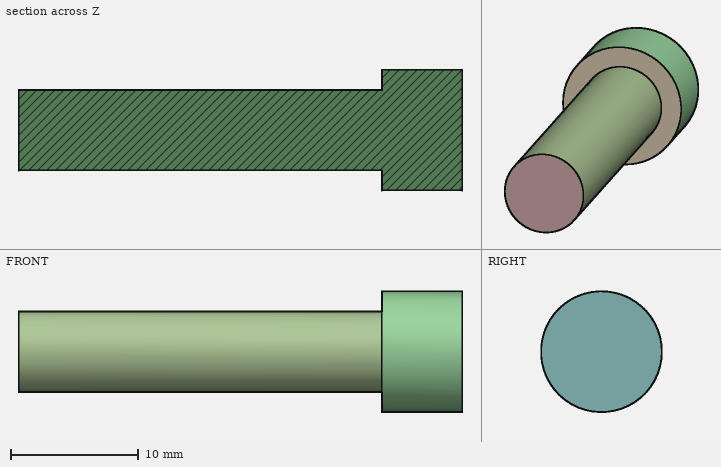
import cadquery as cq

INCH = 25.4
shank_diameter = 1 / 4 * INCH
shank_length = 9 / 8 * INCH
head_diameter = 3 / 8 * INCH
head_length = 1 / 4 * INCH


def cylinder_along_x(start_x, diameter, length):
    """Solid cylinder on the X axis, running toward +X from start_x."""
    return cq.Workplane("YZ", origin=(start_x, 0, 0)).circle(diameter / 2).extrude(length)


shank = cylinder_along_x(-shank_length, shank_diameter, shank_length)
head = cylinder_along_x(0, head_diameter, head_length)

result = shank.union(head)